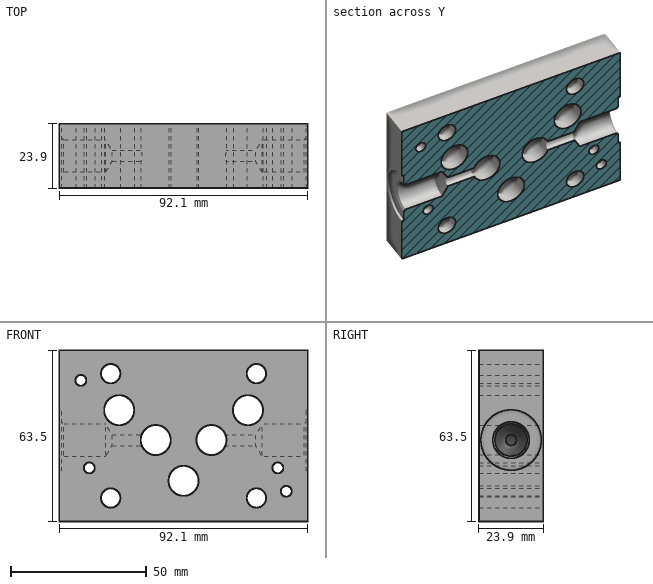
import cadquery as cq
import math

length, thickness, height = 92.1, 23.85, 63.5

port_diameter = 11.05
inner_port_x, inner_port_z = 10.3, -1.6
outer_port_x, outer_port_z = 23.85, 9.5
bottom_port_z = -16.7

bolt_diameter = 7.1
bolt_x, bolt_z = 27.0, 23.0

pin_diameter = 4.0
lower_pin_x, lower_pin_z = 34.9, -11.9
end_pin_x, end_pin_z = 38.0, 20.5

spotface_diameter, spotface_depth = 22.4, 0.8
mouth_diameter, countersink_depth = 13.5, 0.7
bore_diameter, bore_depth = 12.0, 17.0
pilot_diameter = 4.05
drill_point_angle = 118.0


def through_holes(diameter, centres):
    """Cutters along Y at the given (x, z) centres."""
    return (
        cq.Workplane("XZ", origin=(0, thickness / 2, 0))
        .pushPoints(centres)
        .circle(diameter / 2)
        .extrude(thickness)
    )


def gauge_port():
    """Stepped cutter entering the -X end, revolved about the port axis."""
    end_x = -length / 2
    spotface_x = end_x + spotface_depth
    bore_start_x = spotface_x + countersink_depth
    bore_end_x = end_x + bore_depth
    cone_depth = (bore_diameter - pilot_diameter) / 2 / math.tan(math.radians(drill_point_angle / 2))
    profile = [
        (end_x, 0),
        (end_x, spotface_diameter / 2),
        (spotface_x, spotface_diameter / 2),
        (spotface_x, mouth_diameter / 2),
        (bore_start_x, bore_diameter / 2),
        (bore_end_x, bore_diameter / 2),
        (bore_end_x + cone_depth, pilot_diameter / 2),
        (-inner_port_x, pilot_diameter / 2),
        (-inner_port_x, 0),
    ]
    cutter = cq.Workplane("XY").polyline(profile).close().revolve(360, (0, 0), (1, 0))
    return cutter.translate((0, 0, inner_port_z))


valve_ports = [(0, bottom_port_z)]
for side in (-1, 1):
    valve_ports.append((side * inner_port_x, inner_port_z))
    valve_ports.append((side * outer_port_x, outer_port_z))

bolts = [(x, z) for x in (-bolt_x, bolt_x) for z in (-bolt_z, bolt_z)]

pins = [
    (-lower_pin_x, lower_pin_z),
    (lower_pin_x, lower_pin_z),
    (-end_pin_x, end_pin_z),
    (end_pin_x, -end_pin_z),
]

left_gauge_port = gauge_port()

result = (
    cq.Workplane("XY")
    .box(length, thickness, height)
    .cut(through_holes(port_diameter, valve_ports))
    .cut(through_holes(bolt_diameter, bolts))
    .cut(through_holes(pin_diameter, pins))
    .cut(left_gauge_port)
    .cut(left_gauge_port.mirror("YZ"))
)